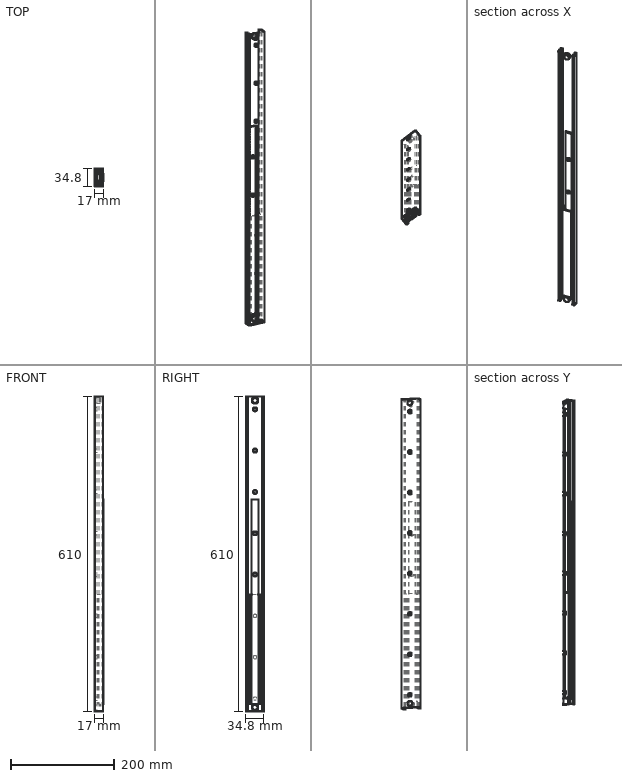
import cadquery as cq

LENGTH = 610.0
INNER_WIDTH = 26.0
WALL = 4.4
WIDTH = INNER_WIDTH + 2 * WALL
CHANNEL_DEPTH = 16.5
CORNER_RADIUS = 1.35

RACEWAY_RADIUS = 3.0
FLANGE_TIP_TO_RACEWAY = 5.2
RACEWAY_X = CHANNEL_DEPTH - FLANGE_TIP_TO_RACEWAY
RACEWAY_DEPTH = 2.0

HOLE_COUNT = 8
HOLE_DIAMETER = 7.0
FIRST_HOLE_Z = 25.0
HOLE_PITCH = (LENGTH - 2 * FIRST_HOLE_Z) / (HOLE_COUNT - 1)
HOLE_HEIGHTS = [FIRST_HOLE_Z + i * HOLE_PITCH for i in range(HOLE_COUNT)]

SHANK_DIAMETER = 10.0
HEAD_DIAMETER = 12.0
HEAD_LENGTH = 7.0
HEAD_CHAMFER = 0.9
PIN_END_DISTANCE = 8.0
PIN_HEIGHTS = (PIN_END_DISTANCE, LENGTH - PIN_END_DISTANCE)

REST_Z = PIN_END_DISTANCE + HEAD_DIAMETER / 2

CAGE_LENGTH = 212.0
CAGE_WIDTH = 22.0
CAGE_WALL = 2.0
CAGE_BACK_X = 5.2
CAGE_TOP_Z = REST_Z + CAGE_LENGTH

RAIL_LENGTH = 396.0
RAIL_WIDTH = 13.5
RAIL_THICKNESS = 3.0
RAIL_FRONT_X = 17.0
RAIL_BACK_X = RAIL_FRONT_X - RAIL_THICKNESS
RAIL_TOP_Z = REST_Z + RAIL_LENGTH


def block(x_min, x_max, width, z_min, length):
    """A box between two X positions, centred on Y = 0 and standing on z_min."""
    base = cq.Workplane("XY", origin=(x_min, 0, z_min))
    return base.box(x_max - x_min, width, length, centered=(False, True, False))


def x_cylinder(x_min, length, diameter, z):
    """A cylinder along +X, centred on Y = 0 at height z."""
    return cq.Workplane("YZ", origin=(x_min, 0, z)).circle(diameter / 2).extrude(length)


def raceway(side):
    """The round cutter for the flange on the given side of Y = 0."""
    axis_y = INNER_WIDTH / 2 + RACEWAY_DEPTH - RACEWAY_RADIUS
    base = cq.Workplane("XY").center(RACEWAY_X, side * axis_y)
    return base.circle(RACEWAY_RADIUS).extrude(LENGTH)


def make_channel():
    body = block(0, CHANNEL_DEPTH, WIDTH, 0, LENGTH)
    body = body.edges("|Z").fillet(CORNER_RADIUS)
    body = body.cut(block(WALL, CHANNEL_DEPTH, INNER_WIDTH, 0, LENGTH))
    for side in (-1, 1):
        body = body.cut(raceway(side))
    for z in HOLE_HEIGHTS:
        body = body.cut(x_cylinder(0, WALL, HOLE_DIAMETER, z))
    for z in PIN_HEIGHTS:
        body = body.cut(x_cylinder(0, WALL, SHANK_DIAMETER, z))
    return body


def make_stop_pin(z):
    shank = x_cylinder(0, WALL, SHANK_DIAMETER, z)
    head = x_cylinder(WALL, HEAD_LENGTH, HEAD_DIAMETER, z)
    head = head.faces(">X").chamfer(HEAD_CHAMFER)
    return shank.union(head)


def make_cage():
    outside = block(CAGE_BACK_X, CHANNEL_DEPTH, CAGE_WIDTH, REST_Z, CAGE_LENGTH)
    inside_width = CAGE_WIDTH - 2 * CAGE_WALL
    inside = block(CAGE_BACK_X + CAGE_WALL, CHANNEL_DEPTH, inside_width, REST_Z, CAGE_LENGTH)
    return outside.cut(inside)


def make_inner_rail():
    """The bar, with holes in line with the channel holes that lie above the cage."""
    bar = block(RAIL_BACK_X, RAIL_FRONT_X, RAIL_WIDTH, REST_Z, RAIL_LENGTH)
    for z in HOLE_HEIGHTS:
        if CAGE_TOP_Z < z < RAIL_TOP_Z:
            bar = bar.cut(x_cylinder(RAIL_BACK_X, RAIL_THICKNESS, HOLE_DIAMETER, z))
    return bar


channel = make_channel()
stop_pins = [make_stop_pin(z) for z in PIN_HEIGHTS]
cage = make_cage()
inner_rail = make_inner_rail()

result = cq.Compound.makeCompound(
    [channel.val(), *[pin.val() for pin in stop_pins], cage.val(), inner_rail.val()]
)